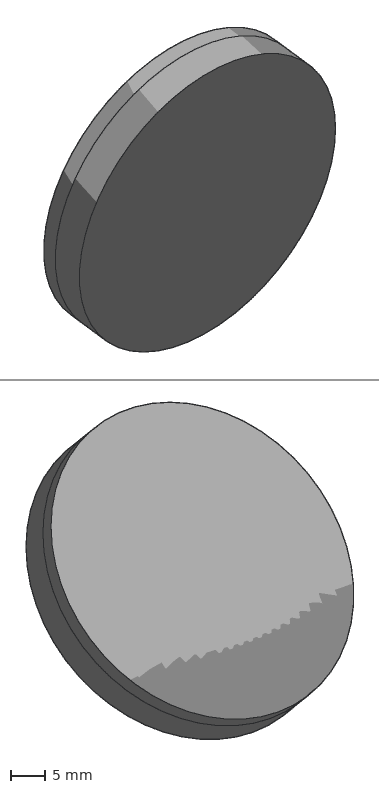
import cadquery as cq

diameter = 50.0
total_thickness = 12.35
front_sag = 3.1
back_sag = 1.4
front_rim_width = 2.55

radius = diameter / 2
front_rim_x = front_sag
joint_x = front_rim_x + front_rim_width
back_apex_x = total_thickness
back_rim_x = back_apex_x - back_sag


def sphere_radius(sag):
    """Radius of the sphere whose cap has this sag across the full lens diameter."""
    return (radius**2 + sag**2) / (2 * sag)


def domed_element(rim_x, apex_x):
    """Disc from the flat joint to rim_x, closed by a spherical dome reaching apex_x."""
    sag = abs(apex_x - rim_x)
    half_profile = (
        cq.Workplane("XY")
        .moveTo(joint_x, 0)
        .lineTo(joint_x, radius)
        .lineTo(rim_x, radius)
        .radiusArc((apex_x, 0), sphere_radius(sag) * (1 if apex_x > rim_x else -1))
        .close()
    )
    return half_profile.revolve(360, (0, 0, 0), (1, 0, 0))


front_element = domed_element(front_rim_x, 0)
back_element = domed_element(back_rim_x, back_apex_x)

result = cq.Compound.makeCompound([front_element.val(), back_element.val()])